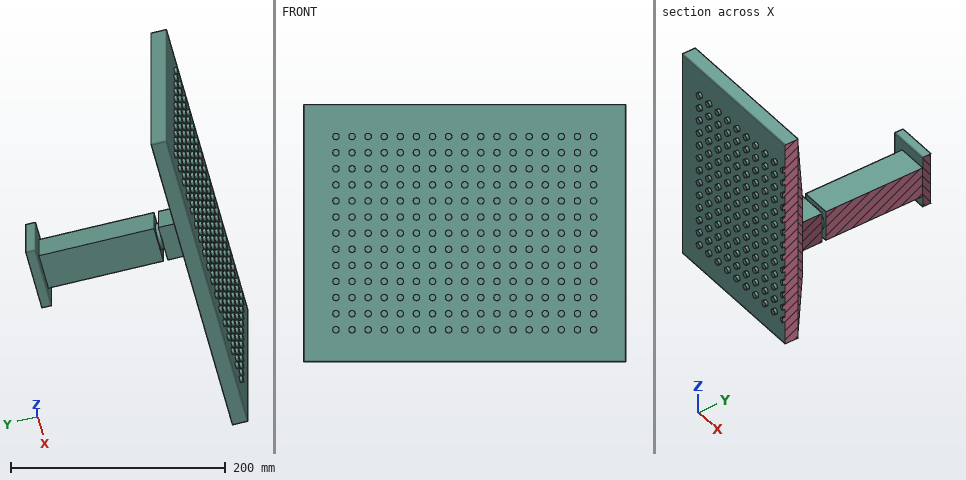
import cadquery as cq
PLATE_WIDTH = 300.0
PLATE_HEIGHT = 240.0
PLATE_THICKNESS = 15.0
NOZZLE_COLUMNS = 17
NOZZLE_ROWS = 13
NOZZLE_PITCH = 15.0
NOZZLE_DIAMETER = 6.0
NOZZLE_LENGTH = 3.0

COVER_RISE = 5.5
COVER_MARGIN = 2.5
COVER_SLOPE_RUN = 73.0
COVER_CORNER_RADIUS = 12.0

TOTAL_DEPTH = 170.0
ARM_SIZE = 34.8
ARM_LENGTH = 110.7
NECK_DIAMETER = 25.0
NECK_LENGTH = 4.2
FLANGE_SIZE = 60.0
FLANGE_THICKNESS = 9.5

EDGE_RADIUS = 0.75

plate_front = NOZZLE_LENGTH
plate_back = plate_front + PLATE_THICKNESS
cover_back = plate_back + COVER_RISE
flange_front = TOTAL_DEPTH - FLANGE_THICKNESS
arm_front = flange_front - ARM_LENGTH
block_back = arm_front - NECK_LENGTH


def section_at(y):
    """Workplane across the part at the given Y; extrusions run towards the nozzle tips."""
    return cq.Workplane("XZ", origin=(0, y, 0))


def square_bar(size, front, back):
    return section_at(back).rect(size, size).extrude(back - front)


def rounded_slab(width, height, front, back):
    """Slab with rounded corners and a rounded front rim."""
    slab = section_at(back).rect(width, height).extrude(back - front)
    return slab.edges("|Y or <Y").fillet(EDGE_RADIUS)


def rounded_outline(width, height):
    return cq.Sketch().rect(width, height).vertices().fillet(COVER_CORNER_RADIUS)


def make_plate():
    plate = rounded_slab(PLATE_WIDTH, PLATE_HEIGHT, plate_front, plate_back)
    nozzles = (
        section_at(plate_front)
        .rarray(NOZZLE_PITCH, NOZZLE_PITCH, NOZZLE_COLUMNS, NOZZLE_ROWS)
        .circle(NOZZLE_DIAMETER / 2)
        .extrude(NOZZLE_LENGTH)
    )
    return plate.union(nozzles)


def make_cover():
    base_width = PLATE_WIDTH - 2 * COVER_MARGIN
    base_height = PLATE_HEIGHT - 2 * COVER_MARGIN
    top_width = base_width - 2 * COVER_SLOPE_RUN
    top_height = base_height - 2 * COVER_SLOPE_RUN
    top = rounded_outline(top_width, top_height)
    base = rounded_outline(base_width, base_height)
    base_location = cq.Location(cq.Vector(0, 0, COVER_RISE))
    return section_at(cover_back).placeSketch(top, base.moved(base_location)).loft(ruled=True)


plate = make_plate()
cover = make_cover()
block = square_bar(ARM_SIZE, cover_back, block_back)
neck = section_at(arm_front).circle(NECK_DIAMETER / 2).extrude(NECK_LENGTH)
arm = square_bar(ARM_SIZE, arm_front, flange_front)
flange = rounded_slab(FLANGE_SIZE, FLANGE_SIZE, flange_front, TOTAL_DEPTH)

result = cq.Compound.makeCompound(
    [plate.val(), cover.val(), block.val(), neck.val(), arm.val(), flange.val()]
)